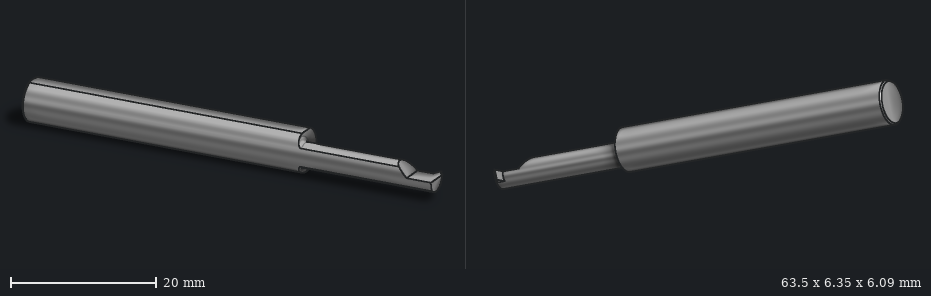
import cadquery as cq
import math

total_length = 63.5

shank_diameter = 6.35
shank_radius = shank_diameter / 2
shank_length = 42.5
height_over_flat = 6.09
shank_flat_height = height_over_flat - shank_radius
back_chamfer = 0.23

neck_diameter = 3.65
neck_radius = neck_diameter / 2
neck_side_y = 0.175
neck_center_y = neck_side_y - neck_radius
root_fillet = 0.7

cutting_face_length = 3.78
cutting_face_z = 0.0
ramp_angle = 45.0

tooth_tip_setback = 0.73
tooth_tip_y = 1.46
tooth_back_setback = 1.38
tooth_shoulder_setback = 0.5
tooth_shoulder_y = 0.85
tooth_corner_y = 0.35
tooth_depth = 1.3
tooth_clearance_angle = 25.0


def cylinder_x(radius, start, end, center_y=0.0):
    """Cylinder parallel to X between two stations."""
    return cq.Workplane("YZ", origin=(start, center_y, 0)).circle(radius).extrude(end - start)


def make_shank():
    """Round shank with a chamfered back end and a flat along the top."""
    shank = cylinder_x(shank_radius, 0, shank_length).faces("<X").chamfer(back_chamfer)
    flat_cut = (
        cq.Workplane("XY", origin=(0, 0, shank_flat_height))
        .rect(2 * shank_length, shank_diameter)
        .extrude(shank_radius)
    )
    return shank.cut(flat_cut)


def make_neck():
    """Neck with a concave root fillet, kept inside the shank's cylinder."""
    arc_offset = root_fillet * (1 - math.sqrt(0.5))
    root_radius = neck_radius + root_fillet
    profile = (
        cq.Workplane("XY", origin=(0, neck_center_y, 0))
        .moveTo(shank_length, 0)
        .lineTo(shank_length, root_radius)
        .threePointArc(
            (shank_length + arc_offset, neck_radius + arc_offset),
            (shank_length + root_fillet, neck_radius),
        )
        .lineTo(total_length, neck_radius)
        .lineTo(total_length, 0)
        .close()
    )
    neck = profile.revolve(360, (0, 0, 0), (1, 0, 0))
    return neck.intersect(cylinder_x(shank_radius, shank_length, total_length))


def make_head_relief():
    """Material above the cutting face and its ramp, to be removed."""
    face_start = total_length - cutting_face_length
    relief_height = shank_radius
    ramp_run = relief_height / math.tan(math.radians(ramp_angle))
    return (
        cq.Workplane("XZ")
        .moveTo(face_start, cutting_face_z)
        .lineTo(total_length, cutting_face_z)
        .lineTo(total_length, cutting_face_z + relief_height)
        .lineTo(face_start - ramp_run, cutting_face_z + relief_height)
        .close()
        .extrude(shank_radius, both=True)
    )


def make_tooth():
    """Pointed tooth beside the head, leaning inward below the cutting face for clearance."""
    tooth_back_x = total_length - tooth_back_setback
    outline = (
        cq.Workplane("XY", origin=(0, 0, cutting_face_z))
        .moveTo(tooth_back_x, neck_center_y)
        .lineTo(tooth_back_x, neck_side_y)
        .lineTo(total_length - tooth_tip_setback, tooth_tip_y)
        .lineTo(total_length - tooth_shoulder_setback, tooth_shoulder_y)
        .lineTo(total_length, tooth_corner_y)
        .lineTo(total_length, neck_center_y)
        .close()
    )
    lean = tooth_depth * math.tan(math.radians(tooth_clearance_angle))
    direction = cq.Vector(0, -lean, -tooth_depth)
    return cq.Workplane(cq.Solid.extrudeLinear(outline.val(), [], direction))


bar = make_shank().union(make_neck())
result = bar.cut(make_head_relief()).union(make_tooth())